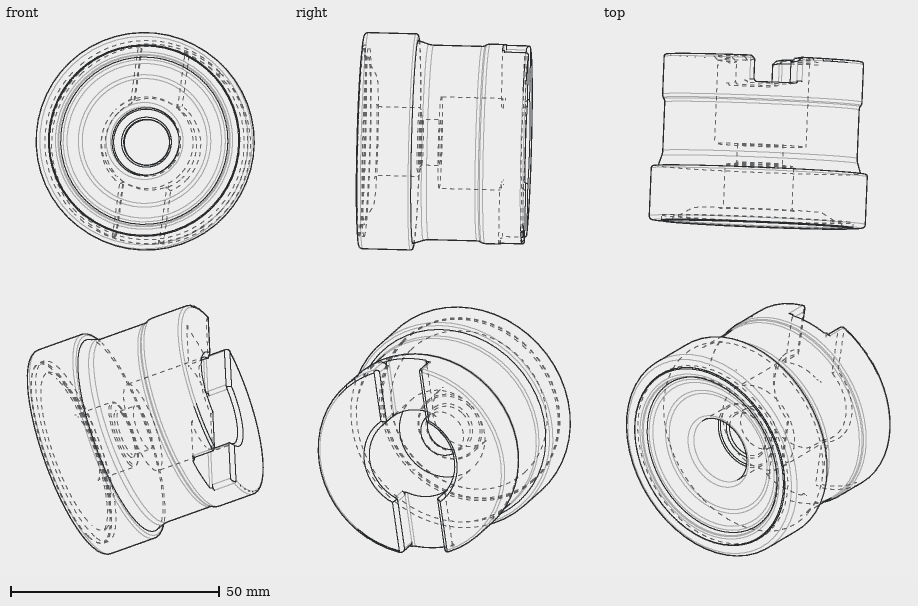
import cadquery as cq
import math


total_length = 40.1
spin_about_axis = 7.7
tilt_about_x = -1.5
tilt_about_z = -2.36

flange_diameter = 52.0
ring_projection = 0.2
rim_fillet = 0.95
flange_back = 13.2
flange_back_fillet = 0.6

neck_cone_diameter = 48.8
neck_cone_angle = 18.0
neck_cone_blend = 4.0
waist_diameter = 46.8
collar_diameter = 48.0
collar_step_start = 29.0
collar_step_angle = 30.0
collar_step_blend = 1.6
collar_rear_fillet = 0.6

ledge_depth = 1.4
recess_mouth_diameter = 38.0
recess_floor_diameter = 31.0
recess_wall_angle = 31.0
mouth_fillet = 1.8
floor_fillet = 1.8

ring_outer_diameter = 46.0
ring_outer_chamfer = 0.25
ring_break_diameter = 42.6
ring_inner_edge_diameter = 41.1
ring_inner_diameter = 40.2
ring_dish_angle = 6.5
ring_inner_dish_angle = 5.0
ring_inner_edge_blend = 0.25

screw_head_diameter = 16.5
screw_head_entry_fillet = 1.0
screw_seat_depth = 14.3
screw_seat_chamfer = 0.35
screw_hole_diameter = 11.0
screw_hole_chamfer = 0.5
arbor_bore_diameter = 22.01
arbor_bore_depth = 21.0
arbor_bore_chamfer = 1.0

slot_width = 10.4
slot_depth = 6.3
slot_floor_fillet = 0.5
slot_rear_chamfer = 1.0
slot_outer_fillet = 0.9
slot_inner_fillet = 1.2


def rounded_profile(corners):
    """Closed outline through (radius, y, corner radius) points, with tangent arcs at the corners."""
    outline = None
    count = len(corners)
    for index, (x, y, corner_radius) in enumerate(corners):
        before = cq.Vector(*corners[index - 1][:2])
        after = cq.Vector(*corners[(index + 1) % count][:2])
        corner = cq.Vector(x, y)
        arc_start = arc_middle = arc_end = corner
        if corner_radius > 0:
            to_before = (before - corner).normalized()
            to_after = (after - corner).normalized()
            half_angle = to_before.getAngle(to_after) / 2
            setback = corner_radius / math.tan(half_angle)
            bisector = (to_before + to_after).normalized()
            arc_start = corner + to_before * setback
            arc_end = corner + to_after * setback
            arc_middle = corner + bisector * (corner_radius / math.sin(half_angle) - corner_radius)
        if outline is None:
            outline = cq.Workplane("XY").moveTo(arc_start.x, arc_start.y)
        else:
            outline = outline.lineTo(arc_start.x, arc_start.y)
        if corner_radius > 0:
            outline = outline.threePointArc((arc_middle.x, arc_middle.y), (arc_end.x, arc_end.y))
    return outline.close()


def turn(corners):
    """Solid of revolution about the Y axis."""
    return rounded_profile(corners).revolve(360, (0, 0, 0), (0, 1, 0))


def place(body):
    """Spin a body about its own axis, then tilt it into the working position."""
    origin = (0, 0, 0)
    body = body.rotate(origin, (0, 1, 0), spin_about_axis)
    body = body.rotate(origin, (1, 0, 0), tilt_about_x)
    return body.rotate(origin, (0, 0, 1), tilt_about_z)


def turned_body():
    flange_radius = flange_diameter / 2
    neck_radius = neck_cone_diameter / 2
    waist_radius = waist_diameter / 2
    collar_radius = collar_diameter / 2
    seat_radius = ring_outer_diameter / 2
    head_radius = screw_head_diameter / 2
    hole_radius = screw_hole_diameter / 2
    arbor_radius = arbor_bore_diameter / 2
    arbor_floor = total_length - arbor_bore_depth
    neck_end = flange_back + (neck_radius - waist_radius) / math.tan(math.radians(neck_cone_angle))
    recess_wall_width = (recess_mouth_diameter - recess_floor_diameter) / 2
    recess_depth = ledge_depth + recess_wall_width * math.tan(math.radians(recess_wall_angle))
    step_length = (collar_radius - waist_radius) / math.tan(math.radians(collar_step_angle))
    return turn([
        (seat_radius, ring_projection, 0),
        (flange_radius, ring_projection, rim_fillet),
        (flange_radius, flange_back, flange_back_fillet),
        (neck_radius, flange_back, 0),
        (waist_radius, neck_end, neck_cone_blend),
        (waist_radius, collar_step_start, collar_step_blend),
        (collar_radius, collar_step_start + step_length, collar_step_blend),
        (collar_radius, total_length, collar_rear_fillet),
        (arbor_radius + arbor_bore_chamfer, total_length, 0),
        (arbor_radius, total_length - arbor_bore_chamfer, 0),
        (arbor_radius, arbor_floor, 0),
        (hole_radius, arbor_floor, 0),
        (hole_radius, screw_seat_depth + screw_hole_chamfer, 0),
        (hole_radius + screw_hole_chamfer, screw_seat_depth, 0),
        (head_radius - screw_seat_chamfer, screw_seat_depth, 0),
        (head_radius, screw_seat_depth - screw_seat_chamfer, 0),
        (head_radius, recess_depth, screw_head_entry_fillet),
        (recess_floor_diameter / 2, recess_depth, floor_fillet),
        (recess_mouth_diameter / 2, ledge_depth, mouth_fillet),
        (seat_radius, ledge_depth, 0),
    ])


def slot_bar(depth):
    """Bar that cuts both slots to the given depth across the full diameter."""
    return (
        cq.Workplane("XY")
        .center(0, total_length - depth / 2)
        .rect(slot_width, depth)
        .extrude(collar_diameter, both=True)
    )


def slot_flare():
    """Bar that chamfers the rear edges of the slot walls."""
    half_width = slot_width / 2
    return (
        cq.Workplane("XY")
        .polyline([
            (-half_width, total_length - slot_rear_chamfer),
            (half_width, total_length - slot_rear_chamfer),
            (half_width + slot_rear_chamfer, total_length),
            (-half_width - slot_rear_chamfer, total_length),
        ])
        .close()
        .extrude(collar_diameter, both=True)
    )


def slot_wall_edges(body, radius):
    """Upright edges where the slot walls meet the cylinder of the given radius."""
    half_width = slot_width / 2
    reach = math.sqrt(radius ** 2 - half_width ** 2)
    middle_y = total_length - slot_depth / 2
    edges = []
    for x in (-half_width, half_width):
        for z in (-reach, reach):
            nearest = cq.selectors.NearestToPointSelector((x, middle_y, z))
            edges.append(body.edges(nearest).val())
    return edges


def make_holder():
    body = turned_body().cut(slot_bar(slot_depth - slot_floor_fillet))
    outer_edges = slot_wall_edges(body, collar_diameter / 2)
    body = body.newObject(outer_edges).fillet(slot_outer_fillet)
    inner_edges = slot_wall_edges(body, arbor_bore_diameter / 2)
    body = body.newObject(inner_edges).fillet(slot_inner_fillet)
    deep_bar = slot_bar(slot_depth).edges("|Z and <Y").fillet(slot_floor_fillet)
    return body.cut(deep_bar).cut(slot_flare())


def make_face_ring():
    outer_radius = ring_outer_diameter / 2
    crest_radius = outer_radius - ring_outer_chamfer
    break_radius = ring_break_diameter / 2
    edge_radius = ring_inner_edge_diameter / 2
    break_depth = (crest_radius - break_radius) * math.tan(math.radians(ring_dish_angle))
    edge_drop = (break_radius - edge_radius) * math.tan(math.radians(ring_inner_dish_angle))
    return turn([
        (outer_radius, ledge_depth, 0),
        (outer_radius, ring_outer_chamfer, 0),
        (crest_radius, 0, 0),
        (break_radius, break_depth, 0),
        (edge_radius, break_depth + edge_drop, ring_inner_edge_blend),
        (ring_inner_diameter / 2, ledge_depth, 0),
    ])


holder = place(make_holder())
face_ring = place(make_face_ring())

result = cq.Compound.makeCompound([holder.val(), face_ring.val()])